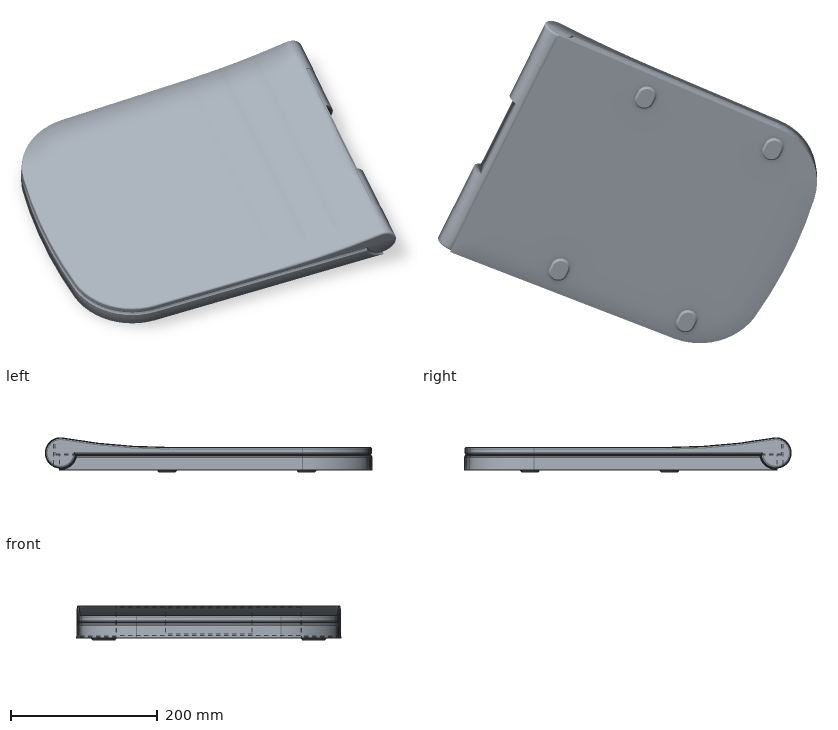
import cadquery as cq
import math


rear_half_width = 180.0
corner_half_width = 174.0
corner_start_y = -330.0
front_half_width = 98.5
front_end_y = -418.0
front_y = -425.0

barrel_radius = 20.5
barrel_z = 23.5
barrel_clearance = 2.0

lid_inset = 1.0
lid_underside = 22.0
lid_top = 31.0
lid_flat_start_y = -147.0
lid_edge_radius = 2.2

seat_top = 20.5
seat_rear_y = 1.5
seat_edge_chamfer = 2.2

hinge_half_width = 126.5
hinge_front_y = 7.0
hinge_clearance = 0.5
notch_half_width = 59.0
notch_front_y = 10.0

pad_length = 34.5
pad_width = 26.5
pad_height = 2.5
pad_taper = 45
pad_x = 143.0
pad_rows_y = (-145.0, -335.5)

big = 891.0
overshoot = 22.3

direction_tolerance = 1e-3


def block(half_width, y_min, y_max, z_min, z_max):
    """Box centred on X = 0."""
    size = (2 * half_width, y_max - y_min, z_max - z_min)
    return cq.Workplane("XY", origin=(0, y_min, z_min)).box(*size, centered=(True, False, False))


def barrel(radius, half_width):
    """Cylinder along the hinge axis."""
    plane = cq.Workplane("YZ", origin=(-half_width, 0, barrel_z))
    return plane.circle(radius).extrude(2 * half_width)


def plan_prism(rear_y, height, inset=0.0):
    """Upright prism on Z = 0 over the plan outline, trimmed square at rear_y."""
    side_slope = (corner_half_width - rear_half_width) / corner_start_y
    outline_rear_y = rear_y + overshoot
    outline_rear_half_width = rear_half_width + side_slope * outline_rear_y
    prism = (
        cq.Workplane("XY")
        .moveTo(outline_rear_half_width, outline_rear_y)
        .lineTo(corner_half_width, corner_start_y)
        .tangentArcPoint((front_half_width, front_end_y), relative=False)
        .threePointArc((0, front_y), (-front_half_width, front_end_y))
        .tangentArcPoint((-corner_half_width, corner_start_y), relative=False)
        .lineTo(-outline_rear_half_width, outline_rear_y)
        .close()
        .offset2D(-inset)
        .extrude(height)
    )
    return prism.intersect(block(big, -big, rear_y, 0, height))


def lid_section():
    """Side profile of the lid, extruded along X: barrel, concave blend and flat front."""
    rise = lid_top - barrel_z
    run = -lid_flat_start_y
    blend_radius = (run**2 + rise**2 - barrel_radius**2) / (2 * (barrel_radius - rise))
    slope = math.asin(run / (blend_radius + barrel_radius))
    tangent_y = -barrel_radius * math.sin(slope)
    tangent_z = barrel_z + barrel_radius * math.cos(slope)
    blend_mid_y = lid_flat_start_y + blend_radius * math.sin(slope / 2)
    blend_mid_z = lid_top + blend_radius * (1 - math.cos(slope / 2))

    under_barrel_y = -math.sqrt(barrel_radius**2 - (lid_underside - barrel_z)**2)
    lid_end_y = front_y - overshoot
    return (
        cq.Workplane("YZ", origin=(-big / 2, 0, 0))
        .moveTo(lid_end_y, lid_underside)
        .lineTo(under_barrel_y, lid_underside)
        .threePointArc((barrel_radius, barrel_z), (tangent_y, tangent_z))
        .threePointArc((blend_mid_y, blend_mid_z), (lid_flat_start_y, lid_top))
        .lineTo(lid_end_y, lid_top)
        .close()
        .extrude(big)
    )


def is_vertical(edge):
    return abs(edge.tangentAt(0).z) > 1 - direction_tolerance


def round_rim(body):
    """Round all edges around the upright sides, above and below."""
    sides = [face for face in body.faces().vals() if abs(face.normalAt().z) < direction_tolerance]
    edges = [edge for face in sides for edge in face.Edges() if not is_vertical(edge)]
    return body.newObject(edges).fillet(lid_edge_radius)


def make_lid():
    plan = plan_prism(barrel_radius + overshoot, 2 * barrel_z, lid_inset)
    lid = round_rim(lid_section().intersect(plan))
    rear_recess = block(hinge_half_width, hinge_front_y, big, -big, big)
    lower_recess = block(hinge_half_width, -barrel_radius, big, -big, lid_underside)
    return lid.cut(rear_recess).cut(lower_recess)


def seat_plate():
    """Seat plate with a hollow on each side that clears the lid barrel."""
    plate = plan_prism(seat_rear_y, seat_top)
    plate = plate.faces(">Z").edges("not >Y").chamfer(seat_edge_chamfer)
    barrel_relief = barrel(barrel_radius + barrel_clearance, big)
    barrel_relief = barrel_relief.cut(block(hinge_half_width, -big, big, -big, big))
    return plate.cut(barrel_relief)


def hinge_block():
    """Barrel-shaped block behind the lid recess, notched in the middle."""
    hinge = barrel(barrel_radius - hinge_clearance, hinge_half_width - hinge_clearance)
    under_lid = block(big, -big, hinge_front_y + hinge_clearance, seat_top, big)
    notch = block(notch_half_width, notch_front_y, big, -big, big)
    return hinge.cut(under_lid).cut(notch)


def bumper_pads():
    pad_centres = [(side * pad_x, y) for side in (-1, 1) for y in pad_rows_y]
    return (
        cq.Workplane("XY")
        .pushPoints(pad_centres)
        .slot2D(pad_length, pad_width)
        .extrude(-pad_height, taper=pad_taper)
    )


def make_seat():
    return seat_plate().union(hinge_block()).union(bumper_pads())


lid = make_lid()
seat = make_seat()

result = cq.Compound.makeCompound([lid.solids().val(), seat.solids().val()])